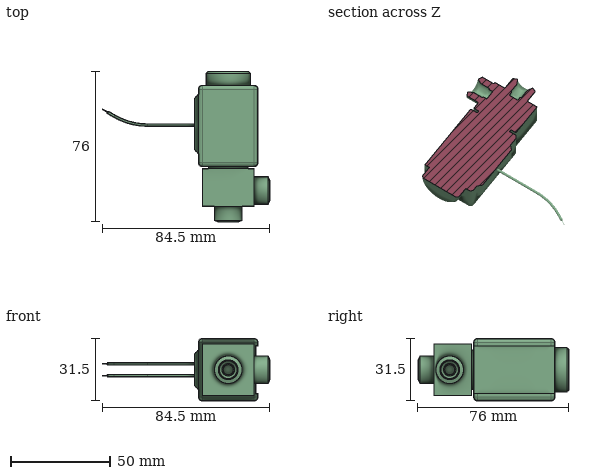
import cadquery as cq
import math


block_side = 26.0
block_front_y = -7.95
block_back_y = 11.1
block_length = block_back_y - block_front_y

port_diameter = 13.95
port_length = 7.95
rim_outer_diameter = 10.0
rim_slope_length = 0.85
rim_inner_diameter = 9.0
funnel_depth = 2.5
socket_diameter = 6.25
socket_depth = port_length
bore_diameter = 5.1
bore_depth = 10.15

neck_diameter = 20.0
neck_length = 1.0

coil_width = 30.0
coil_height = 31.5
coil_length = 41.0
coil_round = 2.0
coil_front_y = block_back_y + neck_length
coil_back_y = coil_front_y + coil_length
coil_middle_y = (coil_front_y + coil_back_y) / 2
channel_height = 24.0
channel_depth = 1.0

cap_diameter = 22.5
cap_length = 7.0
cap_chamfer = 1.0

pad_length = 30.0
pad_height = 20.0
pad_depth = 2.0
pad_slope_angle = 45
pad_offset = 1.0
pad_y = coil_middle_y + pad_offset
pad_face_x = -coil_width / 2 - pad_depth

wire_diameter = 1.3
wire_spacing = 6.0
wire_offset = 0.4
wire_y = coil_middle_y + wire_offset
wire_straight = 23.7
wire_bend_radius = 33.3
wire_bend_angle = 30
wire_tail = 4.0
conductor_diameter = 0.25
conductor_length = 3.1


def revolve_about_z(profile):
    return cq.Workplane("XZ").polyline(profile).close().revolve(360, (0, 0), (0, 1))


def make_port_body():
    """Port along +Z from the block face at Z = 0, with a sloped rim."""
    profile = [
        (0, 0),
        (port_diameter / 2, 0),
        (port_diameter / 2, port_length - rim_slope_length),
        (rim_outer_diameter / 2, port_length),
        (0, port_length),
    ]
    return revolve_about_z(profile)


def make_port_hole():
    """Stepped blind hole of a port: funnel mouth, straight socket, then a narrower bore."""
    funnel_end_z = port_length - funnel_depth
    socket_end_z = port_length - socket_depth
    bore_end_z = port_length - bore_depth
    profile = [
        (0, port_length),
        (rim_inner_diameter / 2, port_length),
        (socket_diameter / 2, funnel_end_z),
        (socket_diameter / 2, socket_end_z),
        (bore_diameter / 2, socket_end_z),
        (bore_diameter / 2, bore_end_z),
        (0, bore_end_z),
    ]
    return revolve_about_z(profile)


def place_as_inlet(shape):
    return shape.rotate((0, 0, 0), (1, 0, 0), 90).translate((0, block_front_y, 0))


def place_as_outlet(shape):
    return shape.rotate((0, 0, 0), (0, 1, 0), 90).translate((block_side / 2, 0, 0))


def make_block():
    return cq.Workplane("XY").box(block_side, block_length, block_side).translate(
        (0, (block_front_y + block_back_y) / 2, 0)
    )


def cylinder_along_y(diameter, start_y, length):
    return cq.Workplane("XZ", origin=(0, start_y, 0)).circle(diameter / 2).extrude(-length)


def make_coil():
    """Rounded housing with a shallow channel along its +X side."""
    housing = cq.Workplane("XY").box(coil_width, coil_length, coil_height).edges().fillet(coil_round)
    channel = cq.Workplane("XY").box(2 * channel_depth, coil_length, channel_height)
    channel = channel.translate((coil_width / 2, 0, 0))
    return housing.cut(channel).translate((0, coil_middle_y, 0))


def make_pad():
    base = cq.Workplane("YZ", origin=(-coil_width / 2, pad_y, 0)).rect(pad_length, pad_height)
    return base.extrude(-pad_depth, taper=pad_slope_angle)


def make_wire(wire_z):
    """Insulated lead: straight, bent toward +Y, straight again, then a bare conductor."""
    angle = math.radians(wire_bend_angle)

    def bend_point(turned):
        return (
            pad_face_x - wire_straight - wire_bend_radius * math.sin(turned),
            wire_y + wire_bend_radius * (1 - math.cos(turned)),
        )

    def along_tail(distance):
        x, y = bend_point(angle)
        return (x - distance * math.cos(angle), y + distance * math.sin(angle))

    path = (
        cq.Workplane("XY", origin=(0, 0, wire_z))
        .moveTo(pad_face_x, wire_y)
        .lineTo(*bend_point(0))
        .threePointArc(bend_point(angle / 2), bend_point(angle))
        .lineTo(*along_tail(wire_tail))
    )
    start = cq.Workplane("YZ", origin=(pad_face_x, wire_y, wire_z))
    insulation = start.circle(wire_diameter / 2).sweep(path)
    conductor = cq.Workplane(
        cq.Solid.makeCylinder(
            conductor_diameter / 2,
            conductor_length,
            cq.Vector(*along_tail(wire_tail), wire_z),
            cq.Vector(-math.cos(angle), math.sin(angle), 0),
        )
    )
    return insulation.union(conductor)


neck = cylinder_along_y(neck_diameter, block_back_y, neck_length)
cap = cylinder_along_y(cap_diameter, coil_back_y, cap_length).faces(">Y").chamfer(cap_chamfer)

result = make_block().union(neck).union(make_coil()).union(cap).union(make_pad())
for place_port in (place_as_inlet, place_as_outlet):
    result = result.union(place_port(make_port_body()))
    result = result.cut(place_port(make_port_hole()))
for side in (-1, 1):
    result = result.union(make_wire(side * wire_spacing / 2))